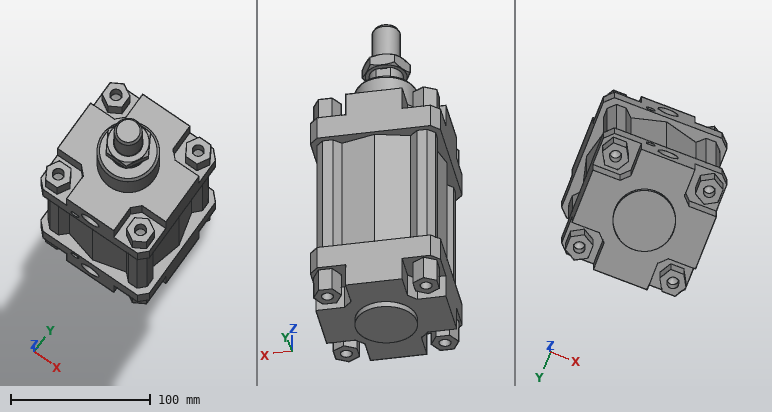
import cadquery as cq
import math

total_height = 258.0
spigot_height = 4.5
cap_width = 95.0
cap_height = 35.9
barrel_length = 96.2

lower_cap_z = spigot_height
barrel_z = lower_cap_z + cap_height
upper_cap_z = barrel_z + barrel_length
collar_z = upper_cap_z + cap_height

cap_corner_chamfer = 6.2
pocket_size = 26.8
pocket_corner_chamfer = 6.0
pocket_depth = cap_height / 2

tie_rod_pitch = 72.0
tie_rod_offset = tie_rod_pitch / 2
tie_nut_corner_diameter = 20.0
tie_hole_diameter = 8.5
tie_hole_depth = 13.0
drill_point_angle = 118.0

port_diameter = 15.2
port_depth = 20.6
port_distance = 16.3
screw_diameter = 6.5
screw_depth = 1.3
screw_distance = 28.0
screw_x = -13.5

ridge_reach = 44.5
column_reach = 43.3
column_outer = 38.2
column_inner = 30.7
valley_offset = 25.0
valley_reach = 38.0

collar_diameter = 45.0
collar_height = 31.7
collar_chamfer_height = 2.3
collar_chamfer_width = 1.8

rod_z = collar_z + collar_height
rod_diameter = 26.0
rod_exposed_length = 3.9
neck_diameter = 24.5
neck_length = 10.0
flats_width = 22.2
flats_height = 8.5
thread_diameter = 20.0
tip_diameter = 17.0
tip_chamfer_height = 2.5

neck_z = rod_z + rod_exposed_length
nut_z = neck_z + neck_length

nut_width = 30.5
nut_height = 9.5
nut_face_diameter = 30.0
nut_chamfer_angle = 30.0
nut_bore_chamfer = 0.5


def cylinder(diameter, height, z):
    return cq.Workplane("XY").workplane(offset=z).circle(diameter / 2).extrude(height)


def make_barrel():
    quarter = [
        (0, -ridge_reach),
        (valley_offset, -valley_reach),
        (column_inner, -column_reach),
        (column_outer, -column_reach),
        (column_reach, -column_outer),
        (column_reach, -column_inner),
        (valley_reach, -valley_offset),
    ]
    outline = []
    for turn in range(4):
        for x, y in quarter:
            for _ in range(turn):
                x, y = -y, x
            outline.append((x, y))
    return cq.Workplane("XY").workplane(offset=barrel_z).polyline(outline).close().extrude(barrel_length)


def tie_nut(turned):
    """Hexagonal tie-rod nut, part of the cap, as tall as the pocket is deep and drilled from its end."""
    nut = cq.Workplane("XY").polygon(6, tie_nut_corner_diameter).extrude(pocket_depth)
    radius = tie_hole_diameter / 2
    point_depth = radius / math.tan(math.radians(drill_point_angle / 2))
    hole = (
        cq.Workplane("XZ")
        .moveTo(0, pocket_depth)
        .lineTo(radius, pocket_depth)
        .lineTo(radius, pocket_depth - tie_hole_depth)
        .lineTo(0, pocket_depth - tie_hole_depth - point_depth)
        .close()
        .revolve(360, (0, 0), (0, 1))
    )
    nut = nut.cut(hole)
    if turned:
        nut = nut.rotate((0, 0, 0), (0, 0, 1), 90)
    return nut


def front_hole(diameter, depth, x, z):
    return (
        cq.Workplane("XZ", origin=(x, -cap_width / 2, z))
        .circle(diameter / 2)
        .extrude(-depth)
    )


def make_cap():
    """End cap standing on its inner face, with its outer face up."""
    cap = cq.Workplane("XY").rect(cap_width, cap_width).extrude(cap_height)
    cap = cap.edges("|Z").chamfer(cap_corner_chamfer)
    pocket_z = cap_height - pocket_depth
    pocket = cq.Workplane("XY").rect(2 * pocket_size, 2 * pocket_size).extrude(pocket_depth)
    pocket = pocket.edges("|Z").chamfer(pocket_corner_chamfer)
    for x_side in (-1, 1):
        for y_side in (-1, 1):
            cap = cap.cut(pocket.translate((x_side * cap_width / 2, y_side * cap_width / 2, pocket_z)))
            nut = tie_nut(turned=x_side != y_side)
            cap = cap.union(nut.translate((x_side * tie_rod_offset, y_side * tie_rod_offset, pocket_z)))
    cap = cap.cut(front_hole(port_diameter, port_depth, 0, cap_height - port_distance))
    return cap.cut(front_hole(screw_diameter, screw_depth, screw_x, cap_height - screw_distance))


def make_collar():
    collar = cylinder(collar_diameter, collar_height, collar_z)
    return collar.faces(">Z").chamfer(collar_chamfer_height, collar_chamfer_width)


def make_housing():
    cap = make_cap()
    housing = make_barrel()
    housing = housing.union(cap.translate((0, 0, upper_cap_z)))
    housing = housing.union(cap.mirror("XY").translate((0, 0, barrel_z)))
    housing = housing.union(cylinder(collar_diameter, spigot_height, 0))
    housing = housing.union(make_collar())
    return housing.cut(cylinder(rod_diameter, collar_height, collar_z))


def make_piston_rod():
    rod = cylinder(rod_diameter, neck_z - collar_z, collar_z)
    rod = rod.union(cylinder(neck_diameter, neck_length, neck_z))
    thread = cylinder(thread_diameter, total_height - nut_z, nut_z)
    thread = thread.faces(">Z").chamfer(tip_chamfer_height, (thread_diameter - tip_diameter) / 2)
    rod = rod.union(thread)
    runout = (neck_diameter - flats_width) / 2
    flats_z = nut_z - flats_height
    flat_cut = (
        cq.Workplane("YZ")
        .moveTo(flats_width / 2, nut_z)
        .lineTo(flats_width / 2, flats_z)
        .lineTo(flats_width / 2 + runout, flats_z - runout)
        .lineTo(flats_width / 2 + runout, nut_z)
        .close()
        .extrude(neck_diameter / 2, both=True)
    )
    return rod.cut(flat_cut).cut(flat_cut.mirror("XZ"))


def make_rod_nut():
    corner_diameter = nut_width / math.cos(math.pi / 6)
    nut = cq.Workplane("XY").polygon(6, corner_diameter).extrude(nut_height)
    corner_drop = (corner_diameter - nut_face_diameter) / 2 * math.tan(math.radians(nut_chamfer_angle))
    chamfered_blank = (
        cq.Workplane("XZ")
        .moveTo(0, 0)
        .lineTo(nut_face_diameter / 2, 0)
        .lineTo(corner_diameter / 2, corner_drop)
        .lineTo(corner_diameter / 2, nut_height - corner_drop)
        .lineTo(nut_face_diameter / 2, nut_height)
        .lineTo(0, nut_height)
        .close()
        .revolve(360, (0, 0), (0, 1))
    )
    nut = nut.intersect(chamfered_blank).cut(cylinder(thread_diameter, nut_height, 0))
    nut = nut.edges(cq.selectors.RadiusNthSelector(0)).chamfer(nut_bore_chamfer)
    return nut.translate((0, 0, nut_z))


housing = make_housing()
piston_rod = make_piston_rod()
rod_nut = make_rod_nut()

result = cq.Compound.makeCompound([housing.val(), piston_rod.val(), rod_nut.val()])